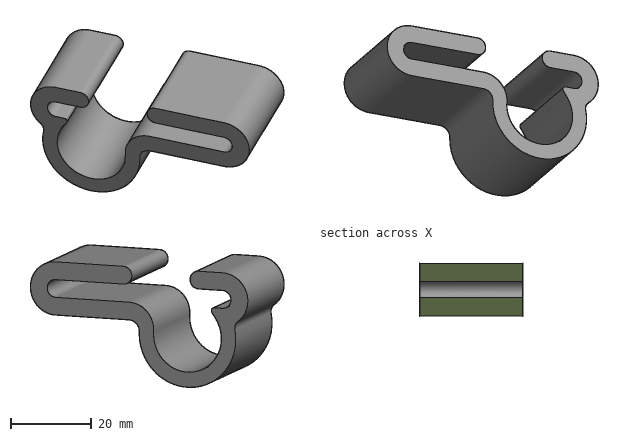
import cadquery as cq
import math


cradle_inner_r = 9.0
cradle_outer_r = 12.86
clip_width = 2 * cradle_outer_r

arm_thickness = 4.5
slot_height = 4.48
slot_r = slot_height / 2
hook_outer_r = slot_r + arm_thickness
arm_end_r = arm_thickness / 2

overall_height = 29.58
top_z = overall_height - cradle_outer_r
hook_z = top_z - hook_outer_r
slot_top_z = hook_z + slot_r
slot_floor_z = hook_z - slot_r
hook_bottom_z = hook_z - hook_outer_r
arm_mid_z = top_z - arm_end_r

overall_length = 57.86
right_hook_x = 35.05
left_hook_x = right_hook_x + 2 * hook_outer_r - overall_length
left_arm_length = 6.4
right_arm_length = 18.0
left_arm_end_x = left_hook_x + left_arm_length
right_arm_end_x = right_hook_x - right_arm_length

neck_upper_r = 6.5
neck_lower_r = 2.65

lip_angle = math.radians(33)
lip_tip_r = 0.75

notch_r = 2.25

DIAGONAL = math.sqrt(0.5)


def circle_crossing():
    """Return the left-hand point where the short hook meets the cradle outside."""
    distance = math.hypot(left_hook_x, hook_z)
    along = (cradle_outer_r**2 - hook_outer_r**2 + distance**2) / (2 * distance)
    across = math.sqrt(cradle_outer_r**2 - along**2)
    ux = left_hook_x / distance
    uz = hook_z / distance
    return (along * ux - across * uz, along * uz + across * ux)


def lip_flank():
    """Return the tangent point on the bore and the sharp tip of the lip."""
    start_x = -cradle_inner_r * math.cos(lip_angle)
    start_z = cradle_inner_r * math.sin(lip_angle)
    tip_x = start_x + (slot_floor_z - start_z) * math.tan(lip_angle)
    return (start_x, start_z), (tip_x, slot_floor_z)


def clip_profile(notch, lip_start, lip_tip):
    """Draw the closed section in the XZ plane, clockwise from the short hook."""
    neck_upper_x = cradle_inner_r + neck_upper_r
    neck_upper_z = slot_floor_z - neck_upper_r
    neck_lower_x = cradle_outer_r + neck_lower_r
    neck_lower_z = hook_bottom_z - neck_lower_r
    profile = cq.Workplane("XZ", origin=(0, clip_width / 2, 0))

    profile = (
        profile.moveTo(*notch)
        .threePointArc((left_hook_x - hook_outer_r, hook_z), (left_hook_x, top_z))
        .lineTo(left_arm_end_x, top_z)
        .threePointArc((left_arm_end_x + arm_end_r, arm_mid_z), (left_arm_end_x, slot_top_z))
        .lineTo(left_hook_x, slot_top_z)
        .threePointArc((left_hook_x - slot_r, hook_z), (left_hook_x, slot_floor_z))
        .lineTo(*lip_tip)
        .lineTo(*lip_start)
    )

    profile = (
        profile.threePointArc((0, -cradle_inner_r), (cradle_inner_r, 0))
        .lineTo(cradle_inner_r, neck_upper_z)
        .threePointArc(
            (neck_upper_x - neck_upper_r * DIAGONAL, neck_upper_z + neck_upper_r * DIAGONAL),
            (neck_upper_x, slot_floor_z),
        )
    )

    profile = (
        profile.lineTo(right_hook_x, slot_floor_z)
        .threePointArc((right_hook_x + slot_r, hook_z), (right_hook_x, slot_top_z))
        .lineTo(right_arm_end_x, slot_top_z)
        .threePointArc((right_arm_end_x - arm_end_r, arm_mid_z), (right_arm_end_x, top_z))
        .lineTo(right_hook_x, top_z)
        .threePointArc((right_hook_x + hook_outer_r, hook_z), (right_hook_x, hook_bottom_z))
    )

    return (
        profile.lineTo(neck_lower_x, hook_bottom_z)
        .threePointArc(
            (neck_lower_x - neck_lower_r * DIAGONAL, neck_lower_z + neck_lower_r * DIAGONAL),
            (cradle_outer_r, neck_lower_z),
        )
        .lineTo(cradle_outer_r, 0)
        .threePointArc((0, -cradle_outer_r), notch)
        .close()
    )


def round_edge(body, point, radius):
    """Round the edge along Y that passes through the given (x, z) point."""
    x, z = point
    edge = cq.selectors.NearestToPointSelector((x, 0, z))
    return body.edges("|Y").edges(edge).fillet(radius)


notch_corner = circle_crossing()
flank_start, flank_tip = lip_flank()

clip = clip_profile(notch_corner, flank_start, flank_tip).extrude(clip_width)
clip = round_edge(clip, notch_corner, notch_r)
result = round_edge(clip, flank_tip, lip_tip_r)